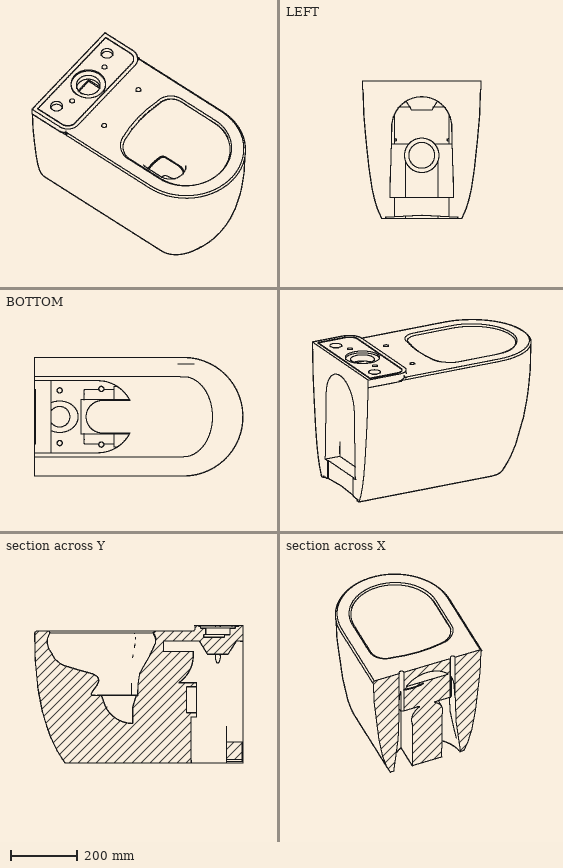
import cadquery as cq
import math

LENGTH = 630.0
HALF_WIDTH = 359.12 / 2
HEIGHT = 415.75

BODY_SECTIONS = [
    (0.0, 121.0, 537.7),
    (4.0, 123.0, 540.5),
    (41.0, 138.0, 564.0),
    (100.0, 152.0, 590.0),
    (160.0, 160.5, 607.5),
    (279.0, 172.5, 626.0),
    (387.0, 177.7, 629.5),
]
SHELL_SEAM = 370.0
NOSE_START = 450.0
NOSE_POINTS = 9
LEAD_IN_POINTS = 5

RIM_WIDEST = 393.5
RIM_TOP = 399.3
RIM_TOP_INSET = 5.5

DECK_BOTTOM = 390.7
DECK_LENGTH = 146.0
DECK_CORNER = 40.0
DECK_RECESS_INSET = 12.4
DECK_RECESS_CORNER = DECK_CORNER - DECK_RECESS_INSET
DECK_RECESS_DEPTH = 2.0
COVE_RADIUS = 6.0
COVE_SWEEP = 60.0

INLET_X = 76.0
INLET_SEAT_DIAMETER = 104.0
INLET_SEAT_DEPTH = 8.0
INLET_DIAMETER = 72.0
INLET_FLOOR = 388.0
CHUTE_START = 56.0
CHUTE_END = 118.0
CHUTE_HALF_WIDTH = 27.0
CHUTE_FLOOR = 380.0
CUP_BOTTOM = 328.0
CUP_BOTTOM_RADIUS = 31.0
CUP_TOP_RADIUS = 56.0

FIXING_DIAMETER = 15.0
FIXING_Y = 79.5
POCKET_X = 51.0
POCKET_Y = 124.0
POCKET_DIAMETER = 36.0
POCKET_DEPTH = 17.0
SEAT_HOLE_DIAMETER = 14.94
SEAT_HOLE_X = 202.0
SEAT_HOLE_Y = 84.0

BOWL_EDGE_DEPTH = 6.0
BOWL_SECTIONS = [
    (RIM_TOP, 264.6, 137.0, 586.4, 455.0, 52.0),
    (RIM_TOP - BOWL_EDGE_DEPTH, 272.6, 131.0, 583.0, 455.0, 48.0),
    (376.0, 264.0, 138.0, 590.0, 455.0, 52.0),
    (350.0, 269.0, 135.0, 588.0, 454.0, 50.0),
    (318.0, 286.0, 115.0, 570.0, 446.0, 40.0),
    (289.0, 303.0, 80.0, 525.0, 422.0, 26.0),
    (270.0, 313.0, 56.0, 455.0, 397.0, 18.0),
    (250.0, 317.0, 49.0, 436.0, 389.0, 16.0),
    (205.0, 318.0, 47.0, 432.0, 387.0, 15.0),
]
BOWL_BACK_BULGE = 9.0

NECK_SECTION = (212.0, 320.0, 45.0, 430.0, 386.0, 14.0)
SUMP_SECTION = (170.0, 333.0, 41.0, 415.0, 380.0, 10.0)
SUMP_FLOOR = 120.0

BAR_TOP = 64.0
BAR_DEPTH = 50.0
BAR_RECESS_HALF = 82.0
BAR_RECESS_DEPTH = 3.0
CAVITY_BOTTOM_HALF = 96.5
CAVITY_SPRING_HALF = 90.0
CAVITY_SPRING = 283.0
CAVITY_TOP = 368.0
CAVITY_END = 300.0
FLOOR_OPENING_HALF = 109.0
FLOOR_OPENING_BACK_TOP = 111.0
FLOOR_OPENING_FRONT_TOP = 140.0
RELIEF_EDGE = 4.0
RELIEF_CENTRE = 10.0

TRAP_HALF_WIDTH = 83.0
TRAP_TOP = 337.0
UPPER_WALL_X = 240.0
TRAP_BACK = 150.0
TRAP_BOTTOM = 225.0
TRAP_RADIUS = 100.0
OUTLET_Z = 191.0
OUTLET_DIAMETER = 104.0
OUTLET_BORE = 78.0
OUTLET_BORE_DEPTH = 30.0
OUTLET_BACK = 140.0
PILLAR_RADIUS = 49.0
PILLAR_X = 205.0


def shell_points(half_width, nose):
    """Shell points along the -Y side, around the half-elliptical nose and back along the +Y side."""
    spacing = (NOSE_START - SHELL_SEAM) / LEAD_IN_POINTS
    lead_in = [SHELL_SEAM + spacing * step for step in range(LEAD_IN_POINTS)]
    points = [(x, -half_width) for x in lead_in]
    for step in range(-NOSE_POINTS, NOSE_POINTS + 1):
        angle = step / NOSE_POINTS * math.pi / 2
        x = NOSE_START + (nose - NOSE_START) * math.cos(angle)
        points.append((x, half_width * math.sin(angle)))
    return points + [(x, half_width) for x in reversed(lead_in)]


def d_outline(height, half_width, nose):
    """Closed outline: straight back and sides, and a front shell with a rounded nose."""
    shell = shell_points(half_width, nose)
    return (
        cq.Workplane("XY", origin=(0, 0, height))
        .moveTo(0, -half_width)
        .lineTo(SHELL_SEAM, -half_width)
        .spline(shell[1:], tangents=[(1, 0), (-1, 0)], includeCurrent=True)
        .lineTo(0, half_width)
        .close()
        .val()
    )


def loft(wires, ruled=False):
    """Solid through closed wires, with straight walls between them when ruled."""
    return cq.Workplane(cq.Solid.makeLoft(wires, ruled))


def make_body():
    outlines = [d_outline(*section) for section in BODY_SECTIONS]
    base = loft(outlines[:2], ruled=True)
    body = loft(outlines[1:])
    rim_mid = d_outline(RIM_WIDEST, HALF_WIDTH, LENGTH)
    rim_high = d_outline(RIM_TOP, HALF_WIDTH - RIM_TOP_INSET, LENGTH - RIM_TOP_INSET)
    rim = loft([outlines[-1], rim_mid, rim_high], ruled=True)
    return base.union(body).union(rim)


def deck_plate(inset, corner, bottom, top):
    """Plate with rounded front corners, inset evenly from the deck outline."""
    length = DECK_LENGTH - 2 * inset
    width = 2 * (HALF_WIDTH - inset)
    plate = cq.Workplane("XY", origin=(inset, 0, bottom)).rect(length, width).extrude(top - bottom)
    plate = plate.translate((length / 2, 0, 0))
    return plate.edges("|Z and >X").fillet(corner)


def cove_profile(radial):
    """Concave fillet section in the XZ plane, standing on the rim against the deck wall."""
    return (
        cq.Workplane("XZ")
        .moveTo(radial, RIM_TOP)
        .lineTo(radial + COVE_RADIUS, RIM_TOP)
        .radiusArc((radial, RIM_TOP + COVE_RADIUS), COVE_RADIUS)
        .close()
    )


def make_deck():
    deck = deck_plate(0, DECK_CORNER, DECK_BOTTOM, HEIGHT)
    recess_floor = HEIGHT - DECK_RECESS_DEPTH
    recess = deck_plate(DECK_RECESS_INSET, DECK_RECESS_CORNER, recess_floor, HEIGHT)
    straight_half = HALF_WIDTH - DECK_CORNER
    cove = cove_profile(DECK_LENGTH).extrude(straight_half, both=True)
    corner = cove_profile(DECK_CORNER).revolve(COVE_SWEEP, (0, 0, 0), (0, 1, 0))
    corner = corner.translate((DECK_LENGTH - DECK_CORNER, straight_half, 0))
    return deck.cut(recess).union(cove).union(corner).union(corner.mirror("XZ"))


def bowl_outline(height, back, half_width, front, curve_start, corner):
    """Closed outline: bulged back, rounded back corners and a half-elliptical front."""
    corner_y = half_width - corner
    corner_x = back + BOWL_BACK_BULGE * half_width / BOWL_SECTIONS[0][2]
    side_x = corner_x + corner
    return (
        cq.Workplane("XY", origin=(0, 0, height))
        .moveTo(side_x, -half_width)
        .lineTo(curve_start, -half_width)
        .ellipseArc(front - curve_start, half_width, -90, 90, startAtCurrent=True)
        .lineTo(side_x, half_width)
        .tangentArcPoint((corner_x, corner_y), relative=False)
        .threePointArc((back, 0), (corner_x, -corner_y))
        .tangentArcPoint((side_x, -half_width), relative=False)
        .close()
        .val()
    )


def make_bowl():
    wires = [bowl_outline(*section) for section in BOWL_SECTIONS]
    edge = loft(wires[:2], ruled=True)
    basin = loft(wires[1:])
    return edge.union(basin)


def make_sump():
    """Tapered neck below the basin and a well whose floor curves down to the back."""
    sump_top, sump_back, sump_half_width, sump_front = SUMP_SECTION[:4]
    sump_wire = bowl_outline(*SUMP_SECTION)
    neck = loft([bowl_outline(*NECK_SECTION), sump_wire], ruled=True)
    well = loft([sump_wire, bowl_outline(SUMP_FLOOR, *SUMP_SECTION[1:])], ruled=True)
    floor_length = sump_front - sump_back
    floor_rise = sump_top - SUMP_FLOOR
    floor_radius = (floor_length**2 + floor_rise**2) / (2 * floor_rise)
    throat = (
        cq.Workplane("XZ")
        .moveTo(sump_back, sump_top)
        .lineTo(sump_back, SUMP_FLOOR)
        .radiusArc((sump_front, sump_top), -floor_radius)
        .close()
        .extrude(sump_half_width, both=True)
    )
    return neck.union(well.intersect(throat))


def floor_opening_section(x, top):
    """Trapezoid across the cavity, narrowing upwards to the cavity width."""
    rise = (top - BAR_TOP) / (CAVITY_SPRING - BAR_TOP)
    top_half = CAVITY_BOTTOM_HALF + rise * (CAVITY_SPRING_HALF - CAVITY_BOTTOM_HALF)
    return (
        cq.Workplane("YZ", origin=(x, 0, 0))
        .moveTo(-FLOOR_OPENING_HALF, 0)
        .lineTo(FLOOR_OPENING_HALF, 0)
        .lineTo(top_half, top)
        .lineTo(-top_half, top)
        .close()
        .val()
    )


def make_cavity():
    arch = (
        cq.Workplane("YZ")
        .moveTo(-CAVITY_BOTTOM_HALF, BAR_TOP)
        .lineTo(-CAVITY_SPRING_HALF, CAVITY_SPRING)
        .threePointArc((0, CAVITY_TOP), (CAVITY_SPRING_HALF, CAVITY_SPRING))
        .lineTo(CAVITY_BOTTOM_HALF, BAR_TOP)
        .close()
        .extrude(CAVITY_END)
    )
    opening_back = floor_opening_section(BAR_DEPTH, FLOOR_OPENING_BACK_TOP)
    opening_front = floor_opening_section(CAVITY_END, FLOOR_OPENING_FRONT_TOP)
    floor_opening = loft([opening_back, opening_front], ruled=True)
    relief = (
        cq.Workplane("YZ")
        .moveTo(-FLOOR_OPENING_HALF, 0)
        .lineTo(-FLOOR_OPENING_HALF, RELIEF_EDGE)
        .lineTo(0, RELIEF_CENTRE)
        .lineTo(FLOOR_OPENING_HALF, RELIEF_EDGE)
        .lineTo(FLOOR_OPENING_HALF, 0)
        .close()
        .extrude(BAR_DEPTH)
    )
    bar_recess = cq.Workplane("XY").box(
        BAR_RECESS_DEPTH, 2 * BAR_RECESS_HALF, BAR_TOP, centered=(False, True, False)
    )
    front_start = CAVITY_END - FLOOR_OPENING_HALF
    plan = (
        cq.Workplane("XY")
        .moveTo(0, -FLOOR_OPENING_HALF)
        .lineTo(front_start, -FLOOR_OPENING_HALF)
        .threePointArc((CAVITY_END, 0), (front_start, FLOOR_OPENING_HALF))
        .lineTo(0, FLOOR_OPENING_HALF)
        .close()
        .extrude(CAVITY_TOP)
    )
    return arch.union(floor_opening).union(relief).union(bar_recess).intersect(plan)


def make_trap():
    width = 2 * TRAP_HALF_WIDTH
    block = (
        cq.Workplane("XY", origin=(TRAP_BACK, 0, TRAP_BOTTOM))
        .box(CAVITY_END - TRAP_BACK, width, TRAP_TOP - TRAP_BOTTOM, centered=(False, True, False))
        .edges("<X and <Z")
        .fillet(TRAP_RADIUS)
    )
    wall = cq.Workplane("XY", origin=(UPPER_WALL_X, 0, TRAP_BOTTOM)).box(
        CAVITY_END - UPPER_WALL_X,
        2 * CAVITY_BOTTOM_HALF,
        CAVITY_TOP - TRAP_BOTTOM,
        centered=(False, True, False),
    )
    outlet = (
        cq.Workplane("YZ", origin=(OUTLET_BACK, 0, OUTLET_Z))
        .circle(OUTLET_DIAMETER / 2)
        .extrude(CAVITY_END - OUTLET_BACK)
    )
    bore = (
        cq.Workplane("YZ", origin=(OUTLET_BACK, 0, OUTLET_Z))
        .circle(OUTLET_BORE / 2)
        .extrude(OUTLET_BORE_DEPTH)
    )
    pillar_length = CAVITY_END - PILLAR_X
    pillar = cq.Workplane("XY", origin=(PILLAR_X, 0, 0)).circle(PILLAR_RADIUS).extrude(OUTLET_Z)
    web = cq.Workplane("XY", origin=(PILLAR_X, 0, 0)).box(
        pillar_length, 2 * PILLAR_RADIUS, OUTLET_Z, centered=(False, True, False)
    )
    return block.union(wall).union(outlet).union(pillar).union(web).cut(bore)


def make_inlet_cup():
    """Tapered cup hanging below the cavity ceiling under the water inlet."""
    return (
        cq.Workplane("XY", origin=(INLET_X, 0, CUP_BOTTOM))
        .circle(CUP_BOTTOM_RADIUS)
        .workplane(offset=CAVITY_TOP - CUP_BOTTOM)
        .circle(CUP_TOP_RADIUS)
        .loft()
    )


def drill(x, y, diameter, bottom):
    hole = cq.Workplane("XY", origin=(x, y, bottom)).circle(diameter / 2)
    return hole.extrude(HEIGHT - bottom)


def make_inlet():
    seat = drill(INLET_X, 0, INLET_SEAT_DIAMETER, HEIGHT - INLET_SEAT_DEPTH)
    throat = drill(INLET_X, 0, INLET_DIAMETER, INLET_FLOOR)
    chute = cq.Workplane("XY", origin=(CHUTE_START, 0, CHUTE_FLOOR)).box(
        CHUTE_END - CHUTE_START,
        2 * CHUTE_HALF_WIDTH,
        INLET_FLOOR - CHUTE_FLOOR,
        centered=(False, True, False),
    )
    return seat.union(throat).union(chute)


result = make_body().union(make_deck()).cut(make_cavity())
result = result.union(make_trap()).union(make_inlet_cup())
result = result.cut(make_bowl()).cut(make_sump()).cut(make_inlet())
for side in (-1, 1):
    result = result.cut(drill(INLET_X, side * FIXING_Y, FIXING_DIAMETER, CAVITY_SPRING))
    result = result.cut(drill(POCKET_X, side * POCKET_Y, POCKET_DIAMETER, HEIGHT - POCKET_DEPTH))
    result = result.cut(drill(SEAT_HOLE_X, side * SEAT_HOLE_Y, SEAT_HOLE_DIAMETER, TRAP_BOTTOM))